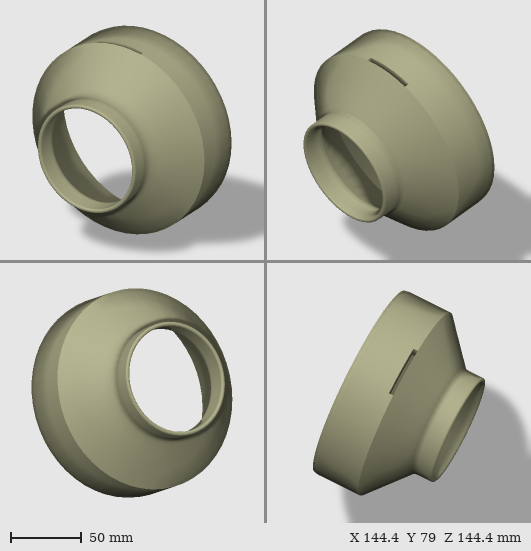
import cadquery as cq
import math

total_length = 79.04
wide_outer_radius = 144.37 / 2
wide_inner_radius = 139.0 / 2
neck_outer_radius = 82.0 / 2
neck_inner_radius = 76.0 / 2

wide_length = 36.4
cone_outer_length = 27.4
bore_depth = 25.5
inner_corner_depth = 62.9
outer_blend_radius = 4.7
lead_in_length = 3.0
lead_in_depth = 0.5

notch_width = 3.4
notch_floor_radius = 64.0
notch_angle = 30.0
notch_clearance = 1.0

neck_wall = neck_outer_radius - neck_inner_radius
rim_round = neck_wall / 2
inner_blend_radius = outer_blend_radius + neck_wall


def blend_arc(corner_depth, radius, slope, blend_radius):
    """Start, middle and end of the arc rounding a cone-to-neck corner."""
    center_r = radius + blend_radius
    center_y = -corner_depth - blend_radius * math.tan(slope / 2)

    def at(angle):
        return (center_r - blend_radius * math.cos(angle), center_y + blend_radius * math.sin(angle))

    return at(slope), at(slope / 2), at(0)


def make_body():
    """Revolve the wall section; sketch x is the radius and sketch y is the axis."""
    outer_slope = math.atan2(wide_outer_radius - neck_outer_radius, cone_outer_length)
    outer_start, outer_mid, outer_end = blend_arc(
        wide_length + cone_outer_length, neck_outer_radius, outer_slope, outer_blend_radius
    )
    inner_slope = math.atan2(wide_inner_radius - neck_inner_radius, inner_corner_depth - bore_depth)
    inner_start, inner_mid, inner_end = blend_arc(
        inner_corner_depth, neck_inner_radius, inner_slope, inner_blend_radius
    )

    profile = (
        cq.Workplane("XY")
        .moveTo(wide_inner_radius, 0)
        .lineTo(wide_outer_radius - lead_in_depth, 0)
        .lineTo(wide_outer_radius, -lead_in_length)
        .lineTo(wide_outer_radius, -wide_length)
        .lineTo(*outer_start)
        .threePointArc(outer_mid, outer_end)
        .lineTo(neck_outer_radius, rim_round - total_length)
        .threePointArc(
            (neck_outer_radius - rim_round, -total_length),
            (neck_inner_radius, rim_round - total_length),
        )
        .lineTo(*inner_end)
        .threePointArc(inner_mid, inner_start)
        .lineTo(wide_inner_radius, -bore_depth)
        .close()
    )
    return profile.revolve(360, (0, 0, 0), (0, 1, 0))


def make_notch():
    """Arc-shaped pocket on top, with radial end walls and a floor concentric with the wall."""
    cutter_radius = wide_outer_radius + notch_clearance
    half_angle = math.radians(notch_angle / 2)

    def at(radius, angle):
        return (radius * math.sin(angle), radius * math.cos(angle))

    return (
        cq.Workplane("XZ", origin=(0, notch_width - wide_length, 0))
        .moveTo(*at(notch_floor_radius, -half_angle))
        .threePointArc(at(notch_floor_radius, 0), at(notch_floor_radius, half_angle))
        .lineTo(*at(cutter_radius, half_angle))
        .threePointArc(at(cutter_radius, 0), at(cutter_radius, -half_angle))
        .close()
        .extrude(notch_width)
    )


result = make_body().cut(make_notch())